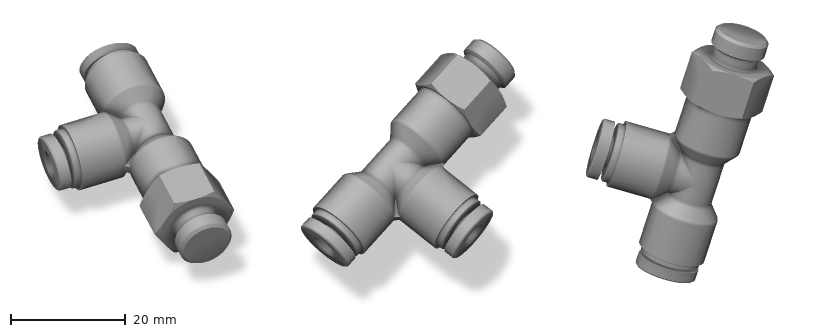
import cadquery as cq
import math


body_diameter = 11.9
neck_diameter = 8.0
port_face = 14.55
adapter_face = 14.45
shoulder_inner = 4.05
shoulder_outer = 6.5
shoulder_blend = 0.6
web_thickness = 1.57
web_reach = 6.65

collar_diameter = 10.6
collar_length = 1.2
collar_bore = 4.15
collar_chamfer = 0.15

port_tip = 18.5
head_width = 10.9
head_height = 8.55
head_thickness = 2.1
head_chamfer = 0.25
stem_diameter = 5.5
sleeve_bore = 4.2
bore_chamfer = 0.3

hex_across_flats = 13.0
hex_end = 22.4
hex_chamfer_angle = 25
undercut_diameter = 8.2
undercut_fillet = 0.4
thread_diameter = 9.7
thread_start = 24.45
thread_end = 27.8
thread_runout = 0.45
thread_chamfer = 0.5

collar_face = port_face + collar_length
body_radius = body_diameter / 2
neck_radius = neck_diameter / 2


def cylinder_on_x(diameter, start, end):
    """Cylinder centred on the X axis between two X positions."""
    return cq.Workplane("YZ", origin=(start, 0, 0)).circle(diameter / 2).extrude(end - start)


def revolve_on_x(outline):
    """Closed outline in the XY plane turned about the X axis."""
    return cq.Workplane("XY").polyline(outline).close().revolve(360, (0, 0, 0), (1, 0, 0))


def turn_to_branch(body):
    """Swing a body from the -X port round to the -Y port."""
    return body.rotate((0, 0, 0), (0, 0, 1), 90)


def blend_shoulders(body):
    """Round both ends of every conical shoulder."""
    return body.faces("%CONE").edges().fillet(shoulder_blend)


def make_run():
    outline = [
        (-port_face, 0),
        (-port_face, body_radius),
        (-shoulder_outer, body_radius),
        (-shoulder_inner, neck_radius),
        (shoulder_inner, neck_radius),
        (shoulder_outer, body_radius),
        (adapter_face, body_radius),
        (adapter_face, 0),
    ]
    return blend_shoulders(revolve_on_x(outline))


def make_branch():
    outline = [
        (-port_face, 0),
        (-port_face, body_radius),
        (-shoulder_outer, body_radius),
        (-shoulder_inner, neck_radius),
        (0, neck_radius),
        (0, 0),
    ]
    return turn_to_branch(blend_shoulders(revolve_on_x(outline)))


def make_corner_web(side):
    """Flat web filling the corner between the run and the branch."""
    return (
        cq.Workplane("XY", origin=(0, 0, -web_thickness / 2))
        .polyline([(0, 0), (side * web_reach, -body_radius), (side * body_radius, -web_reach)])
        .close()
        .extrude(web_thickness)
    )


def make_housing():
    housing = make_run().union(make_branch())
    for side in (-1, 1):
        housing = housing.union(make_corner_web(side))
    return housing


def make_collar():
    """Bored ring seated on the -X port face."""
    ring = cylinder_on_x(collar_diameter, -collar_face, -port_face)
    ring = ring.faces("<X").edges().chamfer(collar_chamfer)
    return ring.cut(cylinder_on_x(collar_bore, -collar_face, -port_face))


def make_sleeve():
    """Release sleeve for the -X port: elliptical head and round stem, bored through, against the collar."""
    head = (
        cq.Workplane("YZ", origin=(-port_tip, 0, 0))
        .ellipse(head_width / 2, head_height / 2)
        .extrude(head_thickness)
        .faces("<X").edges().chamfer(head_chamfer)
    )
    stem = cylinder_on_x(stem_diameter, -port_tip + head_thickness, -collar_face)
    bore = cylinder_on_x(sleeve_bore, -port_tip, -collar_face)
    sleeve = head.union(stem).cut(bore)
    return sleeve.faces("<X").edges("%CIRCLE").chamfer(bore_chamfer)


def make_hex():
    """Hexagon with corners on Y, its corners chamfered by a cone at both ends."""
    hex_length = hex_end - adapter_face
    hex_corner_radius = hex_across_flats / math.sqrt(3)
    face_radius = hex_across_flats / 2
    cone_depth = (hex_corner_radius - face_radius) * math.tan(math.radians(hex_chamfer_angle))
    prism = (
        cq.Workplane("YZ", origin=(adapter_face, 0, 0))
        .polygon(6, 2 * hex_corner_radius)
        .extrude(hex_length)
    )
    envelope = revolve_on_x([
        (adapter_face, 0),
        (adapter_face, face_radius),
        (adapter_face + cone_depth, hex_corner_radius),
        (hex_end - cone_depth, hex_corner_radius),
        (hex_end, face_radius),
        (hex_end, 0),
    ])
    return prism.intersect(envelope)


def make_undercut():
    """Relief neck behind the thread, flared where it meets the hexagon."""
    undercut_radius = undercut_diameter / 2
    flare_radius = undercut_radius + undercut_fillet
    flare_end = hex_end + undercut_fillet
    arc_offset = undercut_fillet * math.sqrt(0.5)
    return (
        cq.Workplane("XY")
        .moveTo(hex_end, 0)
        .lineTo(hex_end, flare_radius)
        .threePointArc((flare_end - arc_offset, flare_radius - arc_offset), (flare_end, undercut_radius))
        .lineTo(thread_start, undercut_radius)
        .lineTo(thread_start, 0)
        .close()
        .revolve(360, (0, 0, 0), (1, 0, 0))
    )


def make_thread():
    """Plain thread cylinder with a conical run-out behind it and a chamfered end."""
    thread_radius = thread_diameter / 2
    return revolve_on_x([
        (thread_start, 0),
        (thread_start, undercut_diameter / 2),
        (thread_start + thread_runout, thread_radius),
        (thread_end - thread_chamfer, thread_radius),
        (thread_end, thread_radius - thread_chamfer),
        (thread_end, 0),
    ])


def make_adapter():
    return make_hex().union(make_undercut()).union(make_thread())


housing = make_housing()
adapter = make_adapter()

port_bodies = []
for port_body in (make_collar(), make_sleeve()):
    port_bodies.append(port_body.val())
    port_bodies.append(turn_to_branch(port_body).val())

result = cq.Compound.makeCompound([housing.val(), adapter.val(), *port_bodies])